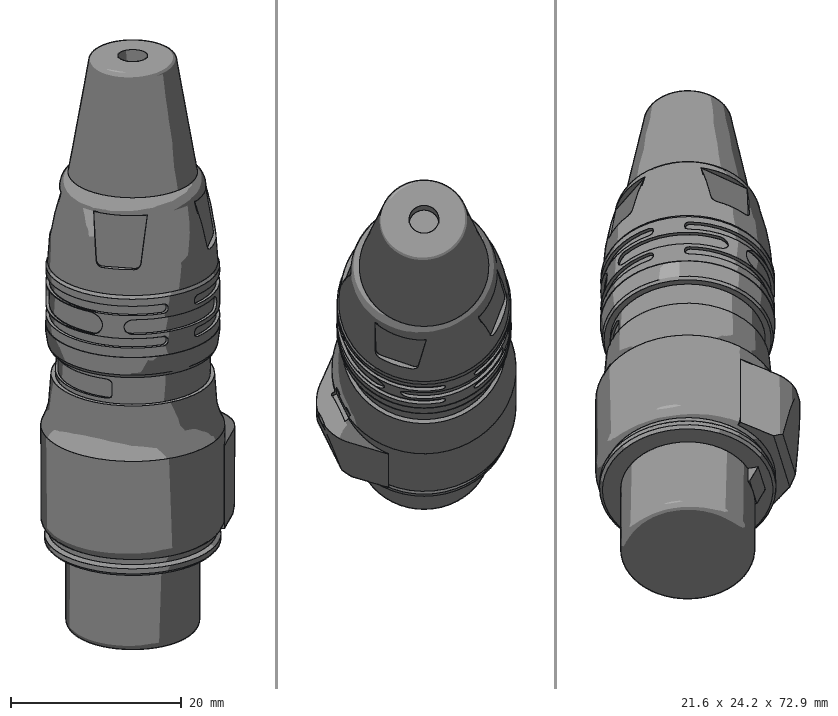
import cadquery as cq
import math

TOTAL_LENGTH = 72.94

SHELL_RADIUS = 7.88
SHELL_TOP = 10.75
SHELL_ROUNDING = 0.9

BEAD_RADIUS = 10.35
BEAD_TOP = 12.1
BEAD_CHAMFER = 0.35
BEAD_NECK_RADIUS = 9.9
BEAD_NECK_TOP = 12.75

BARREL_RADIUS = 10.8
BARREL_BOTTOM = 14.1
BARREL_ROUNDING = 1.4
BARREL_TOP = 25.7
FLARE_FOOT_SLOPE = 0.4
FLARE_MID_RADIUS = 10.05
FLARE_MID_Z = 27.6
FLARE_TOP_RADIUS = 9.72
FLARE_TOP_Z = 30.2
SHOULDER_RADIUS = 9.6
SHOULDER_TOP = 32.28

NECK_RADIUS = 9.1
NECK_TOP = 36.0

COLLAR_BOTTOM_RADIUS = 9.8
COLLAR_CHAMFER_WIDTH = 0.2
COLLAR_CHAMFER_HEIGHT = 0.4
COLLAR_CURVE_RADIUS = 8.0
COLLAR_RADIUS = 10.25
COLLAR_TOP = 38.75
BAND_RADIUS = 10.2
BAND_TOP = 46.6
BAND_CHAMFER_HEIGHT = 0.4
DOME_BOTTOM_RADIUS = 10.0
DOME_MID_RADIUS = 9.5
DOME_MID_Z = 51.9
DOME_TOP_RADIUS = 8.6
DOME_TOP_Z = 56.2
CROWN_MID_RADIUS = 8.3
CROWN_MID_Z = 57.3
CROWN_TOP_RADIUS = 7.6
CROWN_TOP_Z = 58.06

CONE_TOP_RADIUS = 5.2
CONE_ROUNDING = 0.75
CABLE_HOLE_DIAMETER = 3.5
CABLE_HOLE_DEPTH = 1.5

GRIP_CUT_DEPTH = 0.4
LABEL_CUT_DEPTH = 0.3
OUTER_REACH = 15.0
GROOVE_HEIGHT = 1.2
GROOVE_LEVELS = (40.55, 44.7)
GROOVE_LAND_HALF_WIDTH = 1.87
MID_LEVEL = (GROOVE_LEVELS[0] + GROOVE_LEVELS[1]) / 2
SIDE_SLOT_LENGTH = 13.2
SIDE_SLOT_HEIGHT = 1.9
LABEL_LENGTH = 12.1
LABEL_CENTRE_X = -0.2
BAND_LABEL_HEIGHT = 2.8
NECK_LABEL_HEIGHT = 2.45
NECK_LABEL_LEVEL = 34.05
NECK_LABEL_CORNER = 0.6

POCKET_COUNT = 4
POCKET_BOTTOM = 49.8
POCKET_TOP = DOME_TOP_Z
POCKET_BOTTOM_HALF_WIDTH = 2.6
POCKET_TOP_HALF_WIDTH = 3.2
POCKET_CORNER = 0.8
POCKET_FLOOR_BOTTOM = 9.2
POCKET_FLOOR_TOP = 7.95

LATCH_REACH = 13.35
LATCH_NOSE_RADIUS = 5.5
LATCH_FLANK_FOOT_Y = 8.0
LATCH_BOTTOM = 13.0
LATCH_SHOULDER_Z = 23.6
LATCH_TOP = 26.2
LATCH_TAPER = 53.0
LATCH_CREST_START_Y = 13.25
LATCH_CREST_START_Z = 22.4
LATCH_CREST_Z = 23.2
LATCH_CREST_END_Y = 12.7
LATCH_CREST_END_Z = 24.3
LATCH_FOOT_REACH = 12.2
LATCH_FOOT_Z = 14.0
LATCH_FOOT_CHAMFER = 0.9
LATCH_SLOT_WIDTH = 3.8
LATCH_SLOT_INNER_Y = 10.4
LATCH_SLOT_OUTER_Y = 11.1
LATCH_SLOT_DEPTH = 2.0

KEY_REACH = 8.9
KEY_BOTTOM = 8.6
KEY_WIDTH = 3.8


def make_body():
    """Revolve the half section of the connector around Z."""
    flare_foot_direction = (-FLARE_FOOT_SLOPE, 1)
    shoulder_direction = (SHOULDER_RADIUS - FLARE_TOP_RADIUS, SHOULDER_TOP - FLARE_TOP_Z)
    section = (
        cq.Workplane("XZ")
        .lineTo(SHELL_RADIUS - SHELL_ROUNDING, 0)
        .radiusArc((SHELL_RADIUS, SHELL_ROUNDING), -SHELL_ROUNDING)
        .lineTo(SHELL_RADIUS, SHELL_TOP)
        .lineTo(BEAD_RADIUS - BEAD_CHAMFER, SHELL_TOP)
        .lineTo(BEAD_RADIUS, SHELL_TOP + BEAD_CHAMFER)
        .lineTo(BEAD_RADIUS, BEAD_TOP - BEAD_CHAMFER)
        .lineTo(BEAD_NECK_RADIUS, BEAD_TOP)
        .lineTo(BEAD_NECK_RADIUS, BEAD_NECK_TOP)
        .radiusArc((BARREL_RADIUS, BARREL_BOTTOM), -BARREL_ROUNDING)
        .lineTo(BARREL_RADIUS, BARREL_TOP)
        .spline(
            [
                (FLARE_MID_RADIUS, FLARE_MID_Z),
                (FLARE_TOP_RADIUS, FLARE_TOP_Z),
                (SHOULDER_RADIUS, SHOULDER_TOP),
            ],
            tangents=[flare_foot_direction, shoulder_direction],
            includeCurrent=True,
        )
        .lineTo(NECK_RADIUS, SHOULDER_TOP)
        .lineTo(NECK_RADIUS, NECK_TOP)
        .lineTo(COLLAR_BOTTOM_RADIUS, NECK_TOP)
        .lineTo(COLLAR_BOTTOM_RADIUS + COLLAR_CHAMFER_WIDTH, NECK_TOP + COLLAR_CHAMFER_HEIGHT)
        .radiusArc((COLLAR_RADIUS, COLLAR_TOP), -COLLAR_CURVE_RADIUS)
        .lineTo(BAND_RADIUS, COLLAR_TOP)
        .lineTo(BAND_RADIUS, BAND_TOP - BAND_CHAMFER_HEIGHT)
        .lineTo(DOME_BOTTOM_RADIUS, BAND_TOP)
        .threePointArc((DOME_MID_RADIUS, DOME_MID_Z), (DOME_TOP_RADIUS, DOME_TOP_Z))
        .threePointArc((CROWN_MID_RADIUS, CROWN_MID_Z), (CROWN_TOP_RADIUS, CROWN_TOP_Z))
        .lineTo(CONE_TOP_RADIUS, TOTAL_LENGTH - CONE_ROUNDING)
        .radiusArc((CONE_TOP_RADIUS - CONE_ROUNDING, TOTAL_LENGTH), -CONE_ROUNDING)
        .lineTo(0, TOTAL_LENGTH)
        .close()
    )
    return section.revolve(360, (0, 0, 0), (0, 1, 0))


def make_latch():
    """Return the latch button, with flanks aligned to the barrel and a round nose, and its slot."""
    nose_y = LATCH_REACH - LATCH_NOSE_RADIUS
    sine = (BARREL_RADIUS - LATCH_NOSE_RADIUS) / nose_y
    cosine = math.sqrt(1 - sine**2)
    nose_tangent = (LATCH_NOSE_RADIUS * cosine, nose_y + LATCH_NOSE_RADIUS * sine)
    flank_foot = ((BARREL_RADIUS - LATCH_FLANK_FOOT_Y * sine) / cosine, LATCH_FLANK_FOOT_Y)

    def outline(level):
        return (
            cq.Workplane("XY", origin=(0, 0, level))
            .lineTo(*flank_foot)
            .lineTo(*nose_tangent)
            .threePointArc((0, LATCH_REACH), (-nose_tangent[0], nose_tangent[1]))
            .lineTo(-flank_foot[0], flank_foot[1])
            .close()
        )

    lower = outline(LATCH_BOTTOM).extrude(LATCH_SHOULDER_Z - LATCH_BOTTOM)
    upper = outline(LATCH_SHOULDER_Z).extrude(LATCH_TOP - LATCH_SHOULDER_Z, taper=LATCH_TAPER)
    side_profile = (
        cq.Workplane("YZ")
        .moveTo(0, LATCH_BOTTOM)
        .lineTo(LATCH_FOOT_REACH - LATCH_FOOT_CHAMFER, LATCH_BOTTOM)
        .lineTo(LATCH_FOOT_REACH, LATCH_FOOT_Z)
        .lineTo(LATCH_CREST_START_Y, LATCH_CREST_START_Z)
        .threePointArc((LATCH_REACH, LATCH_CREST_Z), (LATCH_CREST_END_Y, LATCH_CREST_END_Z))
        .lineTo(LATCH_CREST_END_Y, LATCH_TOP)
        .lineTo(0, LATCH_TOP)
        .close()
        .extrude(BARREL_RADIUS, both=True)
    )
    slot_thickness = LATCH_SLOT_OUTER_Y - LATCH_SLOT_INNER_Y
    slot = (
        cq.Workplane("XY", origin=(0, LATCH_SLOT_INNER_Y, LATCH_TOP - LATCH_SLOT_DEPTH))
        .box(LATCH_SLOT_WIDTH, slot_thickness, LATCH_SLOT_DEPTH, centered=(True, False, False))
    )
    return lower.union(upper).intersect(side_profile), slot


def make_key():
    """Triangular rib running down from the bead along the plug shell."""
    return (
        cq.Workplane("YZ")
        .moveTo(0, KEY_BOTTOM)
        .lineTo(SHELL_RADIUS, KEY_BOTTOM)
        .lineTo(KEY_REACH, SHELL_TOP)
        .lineTo(0, SHELL_TOP)
        .close()
        .extrude(KEY_WIDTH / 2, both=True)
    )


def wrap_cut(prism, surface_radius, depth):
    """Keep only the part of a prism lying in a thin skin below a round surface."""
    core = cq.Workplane("XY").circle(surface_radius - depth).extrude(TOTAL_LENGTH)
    return prism.cut(core)


def make_grooves():
    """Two grooves around the band, interrupted by round-ended lands at +X and -X."""
    centre = GROOVE_LAND_HALF_WIDTH + OUTER_REACH / 2
    places = [(side * centre, level) for level in GROOVE_LEVELS for side in (-1, 1)]
    prism = (
        cq.Workplane("YZ")
        .pushPoints(places)
        .slot2D(OUTER_REACH, GROOVE_HEIGHT)
        .extrude(OUTER_REACH, both=True)
    )
    return wrap_cut(prism, BAND_RADIUS, GRIP_CUT_DEPTH)


def make_band_pockets():
    """Round-ended pockets between the grooves: narrow at +X and -X, taller at +Y and -Y."""
    sides = (
        cq.Workplane("YZ", origin=(0, 0, MID_LEVEL))
        .slot2D(SIDE_SLOT_LENGTH, SIDE_SLOT_HEIGHT)
        .extrude(OUTER_REACH, both=True)
    )
    labels = (
        cq.Workplane("XZ", origin=(LABEL_CENTRE_X, 0, MID_LEVEL))
        .slot2D(LABEL_LENGTH, BAND_LABEL_HEIGHT)
        .extrude(OUTER_REACH, both=True)
    )
    return wrap_cut(sides.union(labels), BAND_RADIUS, GRIP_CUT_DEPTH)


def make_neck_label():
    """Rounded rectangular recess on the -Y side of the neck."""
    prism = (
        cq.Workplane("XZ", origin=(LABEL_CENTRE_X, 0, NECK_LABEL_LEVEL))
        .rect(LABEL_LENGTH, NECK_LABEL_HEIGHT)
        .extrude(OUTER_REACH)
        .edges("|Y")
        .fillet(NECK_LABEL_CORNER)
    )
    return wrap_cut(prism, NECK_RADIUS, LABEL_CUT_DEPTH)


def make_finger_pocket(angle):
    """Tapered pocket with an inclined flat floor, turned to the given direction."""
    width_profile = (
        cq.Workplane("YZ")
        .polyline([
            (-POCKET_BOTTOM_HALF_WIDTH, POCKET_BOTTOM),
            (POCKET_BOTTOM_HALF_WIDTH, POCKET_BOTTOM),
            (POCKET_TOP_HALF_WIDTH, POCKET_TOP),
            (-POCKET_TOP_HALF_WIDTH, POCKET_TOP),
        ])
        .close()
        .extrude(OUTER_REACH)
        .edges("|X and <Z")
        .fillet(POCKET_CORNER)
    )
    floor_profile = (
        cq.Workplane("XZ")
        .polyline([
            (POCKET_FLOOR_BOTTOM, POCKET_BOTTOM),
            (OUTER_REACH, POCKET_BOTTOM),
            (OUTER_REACH, POCKET_TOP),
            (POCKET_FLOOR_TOP, POCKET_TOP),
        ])
        .close()
        .extrude(OUTER_REACH, both=True)
    )
    return width_profile.intersect(floor_profile).rotate((0, 0, 0), (0, 0, 1), angle)


latch, latch_slot = make_latch()
result = make_body().union(latch).union(make_key()).cut(latch_slot)
result = result.cut(make_grooves()).cut(make_band_pockets()).cut(make_neck_label())
for index in range(POCKET_COUNT):
    result = result.cut(make_finger_pocket((index + 0.5) * 360 / POCKET_COUNT))
top = result.faces(">Z").workplane(origin=(0, 0, TOTAL_LENGTH))
result = top.hole(CABLE_HOLE_DIAMETER, CABLE_HOLE_DEPTH)